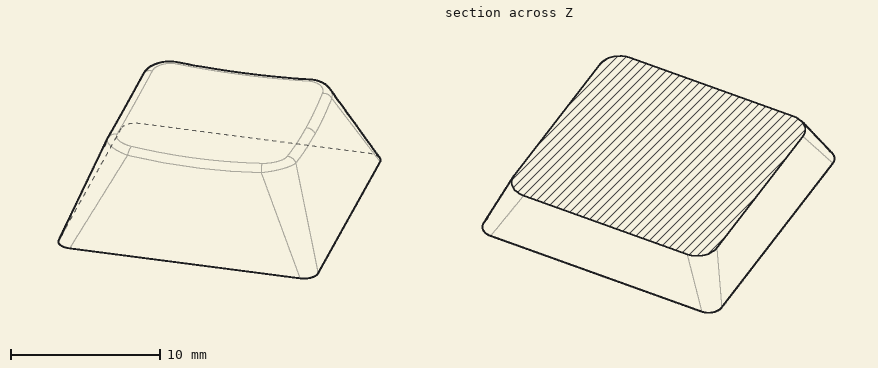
import cadquery as cq

base_width = 18.0
base_corner_radius = 0.99
blank_height = 7.56
side_lean = 0.39
top_corner_radius = 2.07
dish_radius = 45.0
dish_bottom = 6.07
rim_fillet = 0.6


def rounded_square(width, corner_radius):
    """Square sketch with round corners."""
    return cq.Sketch().rect(width, width).vertices().fillet(corner_radius)


def tapered_body():
    """Solid block whose sides lean in and whose corners grow rounder upwards."""
    top_width = base_width - 2 * side_lean * blank_height
    base = rounded_square(base_width, base_corner_radius)
    top = rounded_square(top_width, top_corner_radius)
    raised_top = top.moved(cq.Location(cq.Vector(0, 0, blank_height)))
    return cq.Workplane("XY").placeSketch(base, raised_top).loft(ruled=True)


def dish():
    """Large sphere that hollows the finger surface."""
    return cq.Workplane("XY").sphere(dish_radius).translate((0, 0, dish_bottom + dish_radius))


keycap = tapered_body().cut(dish())
result = keycap.faces("%SPHERE").edges().fillet(rim_fillet)